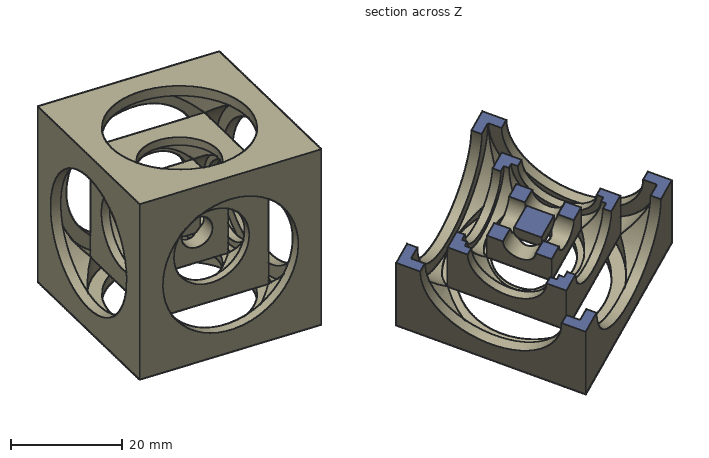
import cadquery as cq


outer_side = 37.47
middle_side = 23.5
inner_side = 12.85
core_side = 5.5

outer_window_diameter = 27.9
outer_undercut_diameter = 33.1
outer_wall = 2.1

middle_window_diameter = 15.5
middle_undercut_diameter = 18.1
middle_wall = 1.7

inner_window_diameter = 6.4

face_directions = [
    (1, 0, 0),
    (-1, 0, 0),
    (0, 1, 0),
    (0, -1, 0),
    (0, 0, 1),
    (0, 0, -1),
]


def cut_discs(body, diameter, near_distance, far_distance):
    """Cut a centered round disc behind each face, between two distances from the cube center."""
    height = far_distance - near_distance
    for direction in face_directions:
        axis = cq.Vector(*direction)
        disc = cq.Solid.makeCylinder(diameter / 2, height, axis * near_distance, axis)
        body = body.cut(cq.Workplane(disc))
    return body


def cut_windows(body, diameter, cube_side, nested_side):
    """Bore from each face of a cube down to the face of the cube nested in it."""
    return cut_discs(body, diameter, nested_side / 2, cube_side / 2)


def cut_undercuts(body, diameter, wall, cube_side, nested_side):
    """Widen each window between the inside of the wall and the face of the nested cube."""
    return cut_discs(body, diameter, nested_side / 2, cube_side / 2 - wall)


result = cq.Workplane("XY").box(outer_side, outer_side, outer_side)

result = cut_windows(result, outer_window_diameter, outer_side, middle_side)
result = cut_undercuts(result, outer_undercut_diameter, outer_wall, outer_side, middle_side)

result = cut_windows(result, middle_window_diameter, middle_side, inner_side)
result = cut_undercuts(result, middle_undercut_diameter, middle_wall, middle_side, inner_side)

result = cut_windows(result, inner_window_diameter, inner_side, core_side)